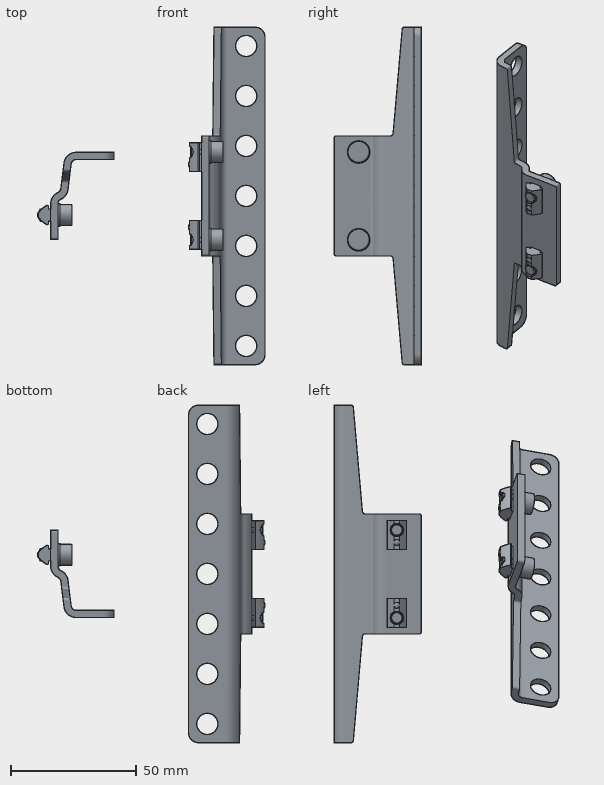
import math

import cadquery as cq


bracket_height = 135.0
sheet = 3.0
bend_inner = 2.0
bend_outer = bend_inner + sheet
rail_edge_x = 25.4
rail_back_y = 25.1
rail_bend_x = 10.3
rail_corner = 4.0
web_lean = math.radians(7)
tab_bend_y = 4.5
tab_end_y = -9.9
tab_height = 48.0
edge_round = 1.0
web_end_y = 17.4
web_root_y = 13.6

rail_hole_diameter = 8.4
rail_hole_x = 17.8
rail_hole_pitch = 20.0
rail_hole_count = 7

bolt_z = 17.5
thread_diameter = 5.0
thread_tip_diameter = 4.2
thread_tip_x = -4.5
clearance_diameter = 5.3
head_diameter = 8.5
head_length = 4.9
head_fillet = 0.5
washer_diameter = 9.0
washer_thickness = 0.8

jaw_bottom_z = 9.7
jaw_length = 11.6
jaw_neck_half = 2.4
jaw_neck_depth = 0.8
jaw_lip_half = 3.6
jaw_wing_half = 3.9
jaw_wing_depth = 1.5
jaw_flank_half = 2.7
jaw_flank_depth = 3.2
jaw_crest_half = 1.1
jaw_crest_depth = 4.9
pip_z = 12.5
pip_diameter = 2.4
pip_height = 0.4


def polar(center, radius, angle):
    """Point at a radius and angle from a center."""
    return (center[0] + radius * math.cos(angle), center[1] + radius * math.sin(angle))


def sheet_section():
    """Bent strip: rail, leaning web and offset tab, joined by three tangent bends."""
    rail_center = (rail_bend_x, rail_back_y - bend_outer)
    tab_center = (bend_outer, tab_bend_y)
    bend_sum = bend_inner + bend_outer

    web_normal = math.pi - web_lean
    center_offset = (
        (tab_center[0] - rail_center[0]) * math.cos(web_normal)
        + (tab_center[1] - rail_center[1]) * math.sin(web_normal)
    )
    jog_turn = web_lean + math.acos(1 - center_offset / bend_sum)
    jog_center = polar(tab_center, bend_sum, math.pi - jog_turn)

    rail_mid = (math.pi / 2 + web_normal) / 2
    jog_mid = -(web_lean + jog_turn) / 2
    tab_mid = math.pi - jog_turn / 2
    tab_start = math.pi - jog_turn

    return (
        cq.Workplane("XY")
        .moveTo(rail_edge_x, rail_back_y)
        .lineTo(rail_bend_x, rail_back_y)
        .threePointArc(polar(rail_center, bend_outer, rail_mid), polar(rail_center, bend_outer, web_normal))
        .lineTo(*polar(jog_center, bend_inner, -web_lean))
        .threePointArc(polar(jog_center, bend_inner, jog_mid), polar(jog_center, bend_inner, -jog_turn))
        .threePointArc(polar(tab_center, bend_outer, tab_mid), (0, tab_bend_y))
        .lineTo(0, tab_end_y)
        .lineTo(sheet, tab_end_y)
        .lineTo(sheet, tab_bend_y)
        .threePointArc(polar(tab_center, bend_inner, tab_mid), polar(tab_center, bend_inner, tab_start))
        .threePointArc(polar(jog_center, bend_outer, jog_mid), polar(jog_center, bend_outer, -web_lean))
        .lineTo(*polar(rail_center, bend_inner, web_normal))
        .threePointArc(polar(rail_center, bend_inner, rail_mid), (rail_bend_x, rail_back_y - sheet))
        .lineTo(rail_edge_x, rail_back_y - sheet)
        .close()
    )


def side_blank():
    """Side outline of the bracket: tall tapered web with a shorter tab in the middle."""
    top = bracket_height / 2
    tab_top = tab_height / 2
    upper = [
        (tab_end_y, tab_top),
        (web_root_y, tab_top),
        (web_end_y, top),
        (rail_back_y, top),
    ]
    lower = [(y, -z) for y, z in reversed(upper)]
    blank = cq.Workplane("YZ").polyline(upper + lower).close().extrude(rail_edge_x)

    def edges_at(y, z):
        """Select the edge along X whose center lies at the given corner."""
        return cq.selectors.NearestToPointSelector((rail_edge_x / 2, y, z))

    for side in (1, -1):
        blank = blank.edges(edges_at(tab_end_y, side * tab_top)).fillet(edge_round)
        blank = blank.edges(edges_at(web_root_y, side * tab_top)).fillet(edge_round)
        blank = blank.edges(edges_at(web_end_y, side * top)).fillet(edge_round)
    return blank


def make_bracket():
    strip = sheet_section().extrude(bracket_height / 2, both=True)
    body = strip.intersect(side_blank())
    body = body.edges("|Y and >X").fillet(rail_corner)

    first_hole_z = -rail_hole_pitch * (rail_hole_count - 1) / 2
    rail_hole_points = [
        (rail_hole_x, first_hole_z + index * rail_hole_pitch) for index in range(rail_hole_count)
    ]
    rail_holes = (
        cq.Workplane("XZ", origin=(0, rail_back_y, 0))
        .pushPoints(rail_hole_points)
        .circle(rail_hole_diameter / 2)
        .extrude(sheet)
    )
    bolt_holes = (
        cq.Workplane("YZ")
        .pushPoints([(0, bolt_z), (0, -bolt_z)])
        .circle(clearance_diameter / 2)
        .extrude(sheet)
    )
    return body.cut(rail_holes).cut(bolt_holes)


def make_jaw():
    """Upper clamp jaw: mushroom section with a flat crest, a bolt hole and a small pip."""
    body = (
        cq.Workplane("XY", origin=(0, 0, jaw_bottom_z))
        .moveTo(0, jaw_neck_half)
        .lineTo(-jaw_neck_depth, jaw_neck_half)
        .lineTo(-jaw_neck_depth, jaw_lip_half)
        .lineTo(-jaw_wing_depth, jaw_wing_half)
        .threePointArc((-jaw_flank_depth, jaw_flank_half), (-jaw_crest_depth, jaw_crest_half))
        .lineTo(-jaw_crest_depth, 0)
        .lineTo(0, 0)
        .close()
        .extrude(jaw_length)
    )
    body = body.union(body.mirror("XZ"))

    pip_radius = ((pip_diameter / 2) ** 2 + pip_height ** 2) / (2 * pip_height)
    pip_center_x = pip_radius - jaw_crest_depth - pip_height
    pip = cq.Workplane("XY", origin=(pip_center_x, 0, pip_z)).sphere(pip_radius)

    bolt_hole = (
        cq.Workplane("YZ", origin=(0, 0, bolt_z))
        .circle(clearance_diameter / 2)
        .extrude(-jaw_crest_depth)
    )
    return body.union(pip).cut(bolt_hole)


def make_bolt():
    """Upper cap bolt: its head rests on the washer and its thread ends in a chamfer."""
    head_seat_x = sheet + washer_thickness
    tip_chamfer = (thread_diameter - thread_tip_diameter) / 2
    head = (
        cq.Workplane("YZ", origin=(head_seat_x, 0, bolt_z))
        .circle(head_diameter / 2)
        .extrude(head_length)
        .faces(">X")
        .edges()
        .fillet(head_fillet)
    )
    thread = (
        cq.Workplane("YZ", origin=(thread_tip_x, 0, bolt_z))
        .circle(thread_diameter / 2)
        .extrude(head_seat_x - thread_tip_x)
        .faces("<X")
        .edges()
        .chamfer(tip_chamfer)
    )
    return head.union(thread)


def make_washer():
    return (
        cq.Workplane("YZ", origin=(sheet, 0, bolt_z))
        .circle(washer_diameter / 2)
        .circle(thread_diameter / 2)
        .extrude(washer_thickness)
    )


bracket = make_bracket()
bodies = [bracket.val()]
for make_body in (make_jaw, make_bolt, make_washer):
    upper_body = make_body()
    lower_body = upper_body.mirror("XY")
    bodies.append(upper_body.val())
    bodies.append(lower_body.val())

result = cq.Compound.makeCompound(bodies)